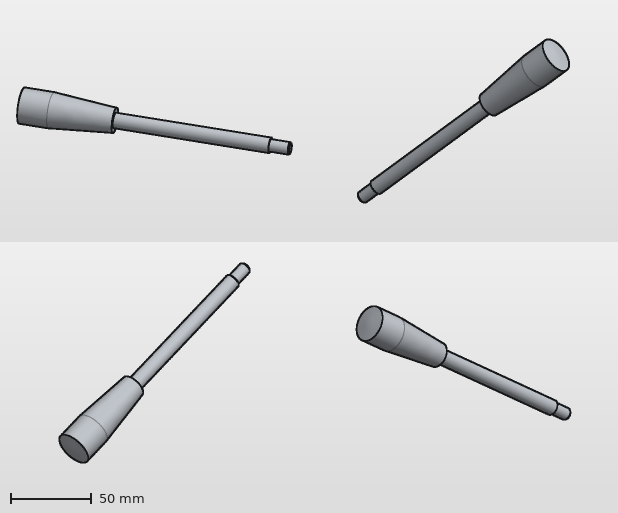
import cadquery as cq

total_length = 174.0
cone_height = 1.0
taper_start = 20.0
grip_end = 60.9
shoulder = 161.0

grip_diameter = 23.0
grip_neck_diameter = 16.0
rod_diameter = 10.0
tip_diameter = 8.0

chamfer_length = 0.9
chamfer_depth = 0.7

grip_radius = grip_diameter / 2
neck_radius = grip_neck_diameter / 2
rod_radius = rod_diameter / 2
tip_radius = tip_diameter / 2

half_profile = (
    cq.Workplane("XZ")
    .moveTo(0, 0)
    .lineTo(cone_height, grip_radius)
    .lineTo(taper_start, grip_radius)
    .lineTo(grip_end, neck_radius)
    .lineTo(grip_end, rod_radius)
    .lineTo(shoulder, rod_radius)
    .lineTo(shoulder, tip_radius)
    .lineTo(total_length - chamfer_length, tip_radius)
    .lineTo(total_length, tip_radius - chamfer_depth)
    .lineTo(total_length, 0)
    .close()
)

result = half_profile.revolve(360, (0, 0, 0), (1, 0, 0))